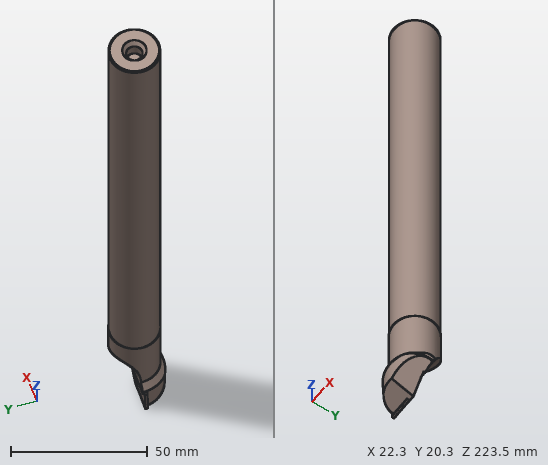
import cadquery as cq
import math

LENGTH = 223.5
SHANK_DIAMETER = 19.0
NECK_DIAMETER = 19.2
NECK_TOP = 36.9
END_CHAMFER = 0.5

HOLE_DIAMETER = 6.0
HOLE_DEPTH = 6.7
COUNTERSINK_DIAMETER = 9.0
COUNTERSINK_DEPTH = 2.0

HEAD_RADIUS = 11.8
FLARE_TOP = 13.9
FLARE_BOTTOM = 10.5

CLEARANCE_RADIUS = 10.7
CLEARANCE_OFFSET = 1.1
CLEARANCE_LEAN = 4.0

HEEL_X = -1.1
HEEL_ANGLE = 54.5

RELIEF_ANGLE = 7.0
HEAD_BOTTOM = 0.5

SCOOP_RADIUS = 17.0
SCOOP_START = 9.2
SCOOP_FLOOR = 0.7
SCOOP_TILT = 22.0
SEAT_TOP = 9.2

TIP_X = -12.7
TIP_EDGE = 9.5
TIP_THICKNESS = 1.1
TIP_CORNER_ANGLE = 80.0
TIP_LEAD_ANGLE = 4.0
TIP_RELIEF_ANGLE = 7.0

BLOCK = 89.5


def make_shank():
    """Round bar, a little thicker along the neck, with a chamfered upper end."""
    shank = (
        cq.Workplane("XY", origin=(0, 0, NECK_TOP))
        .circle(SHANK_DIAMETER / 2)
        .extrude(LENGTH - NECK_TOP)
        .faces(">Z")
        .chamfer(END_CHAMFER)
    )
    neck = (
        cq.Workplane("XY", origin=(0, 0, FLARE_TOP))
        .circle(NECK_DIAMETER / 2)
        .extrude(NECK_TOP - FLARE_TOP)
    )
    return shank.union(neck)


def make_centre_hole():
    """Countersunk blind hole, as one revolved cutter."""
    return (
        cq.Workplane("XZ")
        .moveTo(0, LENGTH)
        .lineTo(COUNTERSINK_DIAMETER / 2, LENGTH)
        .lineTo(HOLE_DIAMETER / 2, LENGTH - COUNTERSINK_DEPTH)
        .lineTo(HOLE_DIAMETER / 2, LENGTH - HOLE_DEPTH)
        .lineTo(0, LENGTH - HOLE_DEPTH)
        .close()
        .revolve(360, (0, 0, 0), (0, 1, 0))
    )


def make_head():
    """Flared round head, trimmed by the leaning clearance cylinder."""
    flared = (
        cq.Workplane("XZ")
        .lineTo(HEAD_RADIUS, 0)
        .lineTo(HEAD_RADIUS, FLARE_BOTTOM)
        .lineTo(NECK_DIAMETER / 2, FLARE_TOP)
        .lineTo(0, FLARE_TOP)
        .close()
        .revolve(360, (0, 0, 0), (0, 1, 0))
    )
    clearance = (
        cq.Workplane("XY")
        .circle(CLEARANCE_RADIUS)
        .extrude(BLOCK, both=True)
        .rotate((0, 0, 0), (0, 1, 0), -CLEARANCE_LEAN)
        .translate((-CLEARANCE_OFFSET, 0, 0))
    )
    return flared.intersect(clearance)


def make_heel_cut():
    """Block on the lower +X side of the oblique heel plane."""
    return (
        cq.Workplane("XY")
        .box(BLOCK, BLOCK, BLOCK, centered=(True, True, False))
        .translate((0, 0, -BLOCK))
        .rotate((0, 0, 0), (0, 1, 0), -HEEL_ANGLE)
        .translate((HEEL_X, 0, 0))
    )


def make_relief_cut():
    """Block under the head, with its upper face rising towards -Y."""
    return (
        cq.Workplane("XY")
        .box(BLOCK, BLOCK, BLOCK, centered=(True, True, False))
        .translate((0, 0, -BLOCK))
        .rotate((0, 0, 0), (1, 0, 0), -RELIEF_ANGLE)
        .translate((0, 0, HEAD_BOTTOM))
    )


def make_scoop():
    """Chip scoop that curves out of the bar, plus the lower step down to the tip's seat."""
    arc_end_y = SCOOP_FLOOR + SCOOP_RADIUS
    arc_end_z = SCOOP_START + SCOOP_RADIUS
    mid_step = SCOOP_RADIUS * math.sqrt(0.5)
    scoop = (
        cq.Workplane("YZ")
        .moveTo(SCOOP_FLOOR, -BLOCK)
        .lineTo(SCOOP_FLOOR, SCOOP_START)
        .threePointArc(
            (arc_end_y - mid_step, SCOOP_START + mid_step),
            (arc_end_y, arc_end_z),
        )
        .lineTo(arc_end_y, -BLOCK)
        .close()
        .extrude(BLOCK, both=True)
        .rotate((0, 0, 0), (0, 1, 0), SCOOP_TILT)
    )
    seat = cq.Workplane("XY").box(BLOCK, BLOCK, BLOCK, centered=(True, False, False))
    return scoop.union(seat.translate((0, 0, SEAT_TOP - BLOCK)))


def make_tip():
    """Rhombic plate whose sides slope inwards below the rake face."""
    lead = math.radians(TIP_LEAD_ANGLE)
    rise = math.radians(TIP_LEAD_ANGLE + TIP_CORNER_ANGLE)
    along = (TIP_EDGE * math.cos(lead), TIP_EDGE * math.sin(lead))
    up = (TIP_EDGE * math.cos(rise), TIP_EDGE * math.sin(rise))
    return (
        cq.Workplane("XZ")
        .moveTo(TIP_X, 0)
        .lineTo(TIP_X + along[0], along[1])
        .lineTo(TIP_X + along[0] + up[0], along[1] + up[1])
        .lineTo(TIP_X + up[0], up[1])
        .close()
        .extrude(TIP_THICKNESS, taper=TIP_RELIEF_ANGLE)
    )


tip = make_tip()
holder = (
    make_shank()
    .union(make_head())
    .cut(make_centre_hole())
    .cut(make_heel_cut())
    .cut(make_relief_cut())
    .cut(make_scoop())
    .cut(tip)
)

result = cq.Compound.makeCompound([holder.val(), tip.val()])